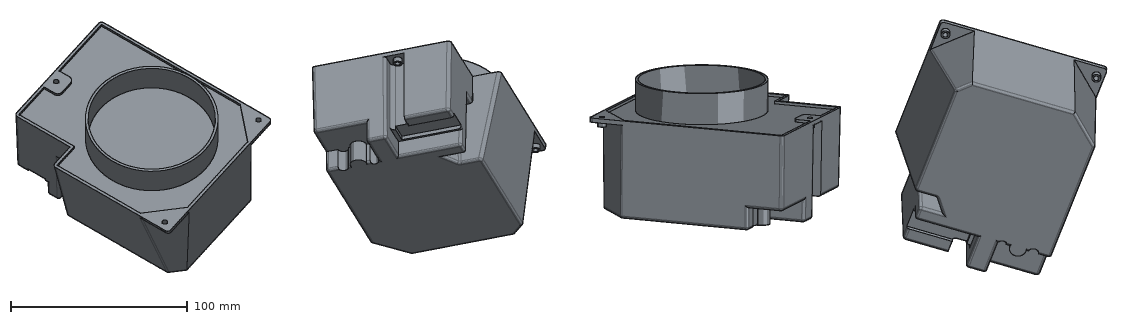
import cadquery as cq
import math

LENGTH = 120.0
WIDTH = 100.0
HEIGHT = 73.5

BODY_HEIGHT = 57.0
DRAFT_ANGLE = 1.0
STEP_X = 38.9
STEP_Y = 16.7
RAKE_RUN = 11.6
CORNER_RADIUS = 2.0
EDGE_RADIUS = 1.7
BOTTOM_RADIUS = 1.5

WALL = 1.8
RECESS_DEPTH = 1.5
EAR_THICKNESS = 2.5
EAR_SIZE = 20.2
LUG_LENGTH = 12.2
LUG_WIDTH = 14.4
LUG_RADIUS = 3.2

HOLE_DIAMETER = 3.0
BOSS_DIAMETER = 5.0
BOSS_DROP = 2.9
EAR_HOLE_X = 114.0
EAR_HOLE_INSET = 4.8
LUG_HOLE_X = 5.0

COLLAR_X = 72.0
COLLAR_DIAMETER = 75.2
COLLAR_WALL = 1.5

SLOT_DEPTH = 10.1
SLOT_WIDTH = 10.8
SLOT_RADIUS = 2.4

FRONT_NOTCH_X = 22.2
FRONT_NOTCH_HEIGHT = 10.5
CHANNEL_START_X = 8.8
CHANNEL_END_X = 21.0
CHANNEL_TOP = 12.8

REAR_NOTCH_DEPTH = 22.2
REAR_NOTCH_Y = 67.5
REAR_NOTCH_HEIGHT = 13.0
PILLAR_Y = 79.5
PILLAR_DIAMETER = 9.6
FRONT_GROOVE_Y = 70.0
FRONT_GROOVE_DIAMETER = 4.8
REAR_GROOVE_Y = 88.5
REAR_GROOVE_DIAMETER = 6.1

POCKET_X = 30.7
POCKET_HEIGHT = 39.0
POCKET_DEEP_Y = 31.2
POCKET_SHALLOW_X = 39.8
POCKET_SHALLOW_Y = 24.8

OVERCUT = 6.0
TOUCH = 0.2

MID_Y = WIDTH / 2
EAR_Z = BODY_HEIGHT - EAR_THICKNESS
EAR_INSET = EAR_SIZE + WALL * math.sqrt(2)
RECESS_Z = BODY_HEIGHT - RECESS_DEPTH
SLOT_Y_MIN = MID_Y - SLOT_WIDTH / 2
SLOT_Y_MAX = MID_Y + SLOT_WIDTH / 2
HOLE_POINTS = [
    (LUG_HOLE_X, MID_Y),
    (EAR_HOLE_X, EAR_HOLE_INSET),
    (EAR_HOLE_X, WIDTH - EAR_HOLE_INSET),
]


def box(x_min, x_max, y_min, y_max, z_min, z_max):
    size = (x_max - x_min, y_max - y_min, z_max - z_min)
    return cq.Workplane("XY").box(*size, centered=False).translate((x_min, y_min, z_min))


def prism(points, z_min, z_max):
    return cq.Workplane("XY").workplane(offset=z_min).polyline(points).close().extrude(z_max - z_min)


def cylinders(points, diameter, z_min, z_max):
    plane = cq.Workplane("XY").workplane(offset=z_min)
    return plane.pushPoints(points).circle(diameter / 2).extrude(z_max - z_min)


def drafted_prism(outline):
    """Prism below the rim whose sides lean inward towards the bottom."""
    top = cq.Workplane("XY").workplane(offset=BODY_HEIGHT)
    return top.polyline(outline).close().extrude(-BODY_HEIGHT, taper=DRAFT_ANGLE)


def lean(z):
    """Distance that a drafted side has moved inward at height z."""
    return (BODY_HEIGHT - z) * math.tan(math.radians(DRAFT_ANGLE))


def edges_through(shape, points):
    """Edges of the shape that pass through any of the points."""
    def touches(edge):
        return any(edge.distance(cq.Vertex.makeVertex(*point)) < TOUCH for point in points)
    return shape.newObject([edge for edge in shape.edges().vals() if touches(edge)])


def drafted_block():
    block = drafted_prism([
        (0, STEP_Y), (STEP_X, STEP_Y), (STEP_X, 0),
        (LENGTH, 0), (LENGTH, WIDTH), (0, WIDTH),
    ])
    rake = (
        cq.Workplane("YZ")
        .polyline([(0, BODY_HEIGHT), (RAKE_RUN, 0), (-OVERCUT, 0), (-OVERCUT, BODY_HEIGHT)])
        .close().extrude(LENGTH)
    )
    upright_corners = block.cut(rake).edges("not(#Z)").edges(">X or <X or <Y")
    return upright_corners.fillet(CORNER_RADIUS)


def ear_corners():
    """Wedges below the ears that cut the +X corners of the body off at 45 degrees."""
    x_start = LENGTH - EAR_SIZE - OVERCUT
    x_end = LENGTH + OVERCUT
    wedge = prism([(x_start, -OVERCUT), (x_end, EAR_SIZE + OVERCUT), (x_end, -OVERCUT)], 0, EAR_Z)
    return wedge.union(wedge.mirror("XZ", (0, MID_Y, 0)))


def corner_notches():
    front = box(-OVERCUT, FRONT_NOTCH_X, -OVERCUT, SLOT_Y_MAX, 0, FRONT_NOTCH_HEIGHT)
    rear = box(-OVERCUT, REAR_NOTCH_DEPTH, REAR_NOTCH_Y, WIDTH + OVERCUT, 0, REAR_NOTCH_HEIGHT)
    return front.union(rear)


def screw_slot():
    slot = box(-OVERCUT, SLOT_DEPTH, SLOT_Y_MIN, SLOT_Y_MAX, 0, EAR_Z)
    return slot.edges("|Z and >X").fillet(SLOT_RADIUS)


def corner_pocket():
    """Pocket beside the front wing; the drafted wing itself is its +X wall."""
    slope = (POCKET_SHALLOW_Y - POCKET_DEEP_Y) / (POCKET_SHALLOW_X - POCKET_X)
    x_end = POCKET_SHALLOW_X + OVERCUT
    y_end = POCKET_SHALLOW_Y + slope * OVERCUT
    pocket = prism([(POCKET_X, 0), (POCKET_X, POCKET_DEEP_Y), (x_end, y_end), (x_end, 0)], 0, POCKET_HEIGHT)
    wing = drafted_prism([(STEP_X, -OVERCUT), (LENGTH, -OVERCUT), (LENGTH, WIDTH), (STEP_X, WIDTH)])
    pocket = pocket.cut(wing)
    mid_z = POCKET_HEIGHT / 2
    wing_x = STEP_X + lean(mid_z)
    back_corner = edges_through(pocket, [(wing_x, POCKET_DEEP_Y + slope * (wing_x - POCKET_X), mid_z)])
    return back_corner.fillet(EDGE_RADIUS)


def round_edges(body):
    """Round the mouths of the notches and pocket, the cut-off corners and the bottom outline."""
    low_z = REAR_NOTCH_HEIGHT / 2
    mid_z = BODY_HEIGHT / 2
    rake_y = RAKE_RUN / 2
    mouths_and_corners = edges_through(body, [
        (FRONT_NOTCH_X, STEP_Y + lean(low_z), low_z),
        (FRONT_NOTCH_X / 2, STEP_Y + lean(FRONT_NOTCH_HEIGHT), FRONT_NOTCH_HEIGHT),
        (lean(FRONT_NOTCH_HEIGHT), (STEP_Y + MID_Y) / 2, FRONT_NOTCH_HEIGHT),
        (lean(mid_z), SLOT_Y_MAX, mid_z),
        (REAR_NOTCH_DEPTH, WIDTH - lean(low_z), low_z),
        (lean(low_z), REAR_NOTCH_Y, low_z),
        (lean(REAR_NOTCH_HEIGHT), PILLAR_Y, REAR_NOTCH_HEIGHT),
        (POCKET_X, STEP_Y + lean(mid_z), mid_z),
        ((POCKET_X + STEP_X) / 2, STEP_Y + lean(POCKET_HEIGHT), POCKET_HEIGHT),
        (LENGTH - EAR_SIZE + rake_y, rake_y, mid_z),
        (LENGTH - EAR_SIZE + lean(mid_z), WIDTH - lean(mid_z), mid_z),
    ])
    rounded = mouths_and_corners.fillet(EDGE_RADIUS)
    return rounded.faces("<Z").edges().fillet(BOTTOM_RADIUS)


def ceiling_channel():
    """Shallow channel in the ceiling of the front notch, running back to the slot."""
    y_end = SLOT_Y_MAX - SLOT_RADIUS
    return box(CHANNEL_START_X, CHANNEL_END_X, 0, y_end, FRONT_NOTCH_HEIGHT - OVERCUT, CHANNEL_TOP)


def rear_column(y, diameter):
    """Round column centred on the back wall of the rear notch."""
    return cylinders([(REAR_NOTCH_DEPTH, y)], diameter, 0, REAR_NOTCH_HEIGHT)


def top_recess():
    """Shallow recess inside the rim that leaves the ears and the lug at full height."""
    floor = prism([
        (WALL, STEP_Y + WALL), (STEP_X + WALL, STEP_Y + WALL), (STEP_X + WALL, WALL),
        (LENGTH - EAR_INSET + WALL, WALL), (LENGTH - WALL, EAR_INSET - WALL),
        (LENGTH - WALL, WIDTH - EAR_INSET + WALL), (LENGTH - EAR_INSET + WALL, WIDTH - WALL),
        (WALL, WIDTH - WALL),
    ], RECESS_Z, BODY_HEIGHT)
    lug = box(0, LUG_LENGTH, MID_Y - LUG_WIDTH / 2, MID_Y + LUG_WIDTH / 2, RECESS_Z, BODY_HEIGHT)
    return floor.cut(lug.edges("|Z and >X").fillet(LUG_RADIUS))


def collar():
    centre = [(COLLAR_X, MID_Y)]
    outer = cylinders(centre, COLLAR_DIAMETER, RECESS_Z, HEIGHT)
    return outer.cut(cylinders(centre, COLLAR_DIAMETER - 2 * COLLAR_WALL, RECESS_Z, HEIGHT))


body = drafted_block().cut(ear_corners()).cut(corner_notches()).cut(screw_slot()).cut(corner_pocket())
body = round_edges(body)
body = body.cut(ceiling_channel())
body = body.cut(rear_column(FRONT_GROOVE_Y, FRONT_GROOVE_DIAMETER))
body = body.cut(rear_column(REAR_GROOVE_Y, REAR_GROOVE_DIAMETER))
body = body.union(rear_column(PILLAR_Y, PILLAR_DIAMETER))
body = body.cut(top_recess()).union(collar())
body = body.union(cylinders(HOLE_POINTS, BOSS_DIAMETER, EAR_Z - BOSS_DROP, EAR_Z))
body = body.cut(cylinders(HOLE_POINTS, HOLE_DIAMETER, EAR_Z - BOSS_DROP, BODY_HEIGHT))
result = cq.Workplane(body.solids().val())